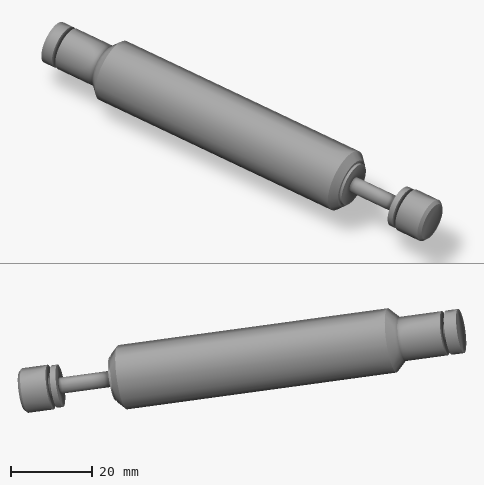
import cadquery as cq

overall_length = 111.0

knob_dia = 11.0
knob_length = 3.1
knob_stem_dia = 4.4
knob_stem_length = 1.0

housing_dia = 16.0
shank_dia = 11.0
shank_end_x = 14.9
rear_cone_length = 2.5
front_chamfer = 1.8
housing_front_x = 87.4
lip_dia = 11.0
lip_length = 0.7

rod_dia = 4.0
flange_dia = 10.5
flange_x = 101.3
flange_length = 1.4
neck_dia = 5.5
head_dia = 11.1
head_x = 103.8
head_chamfer = 0.8

shank_x = knob_length + knob_stem_length
lip_end_x = housing_front_x + lip_length


def cylinder(start_x, end_x, diameter):
    """Solid cylinder on the X axis."""
    return cq.Workplane("YZ", origin=(start_x, 0, 0)).circle(diameter / 2).extrude(end_x - start_x)


def make_knob():
    """Disc with a thin stem that butts against the housing shank."""
    disc = cylinder(0, knob_length, knob_dia)
    stem = cylinder(knob_length, shank_x, knob_stem_dia)
    return disc.union(stem)


def make_housing():
    """Shank, tapered shoulder, main barrel and front lip, revolved about the X axis."""
    barrel_radius = housing_dia / 2
    profile = [
        (shank_x, 0),
        (shank_x, shank_dia / 2),
        (shank_end_x, shank_dia / 2),
        (shank_end_x + rear_cone_length, barrel_radius),
        (housing_front_x - front_chamfer, barrel_radius),
        (housing_front_x, barrel_radius - front_chamfer),
        (housing_front_x, lip_dia / 2),
        (lip_end_x, lip_dia / 2),
        (lip_end_x, 0),
    ]
    return cq.Workplane("XY").polyline(profile).close().revolve(360, (0, 0, 0), (1, 0, 0))


def make_plunger():
    """Rod from the housing lip, carrying a flange, a neck and a chamfered head."""
    rod = cylinder(lip_end_x, flange_x, rod_dia)
    flange = cylinder(flange_x, flange_x + flange_length, flange_dia)
    neck = cylinder(flange_x + flange_length, head_x, neck_dia)
    head = cylinder(head_x, overall_length, head_dia).faces(">X").chamfer(head_chamfer)
    return rod.union(flange).union(neck).union(head)


knob = make_knob()
housing = make_housing()
plunger = make_plunger()

result = cq.Compound.makeCompound([knob.val(), housing.val(), plunger.val()])